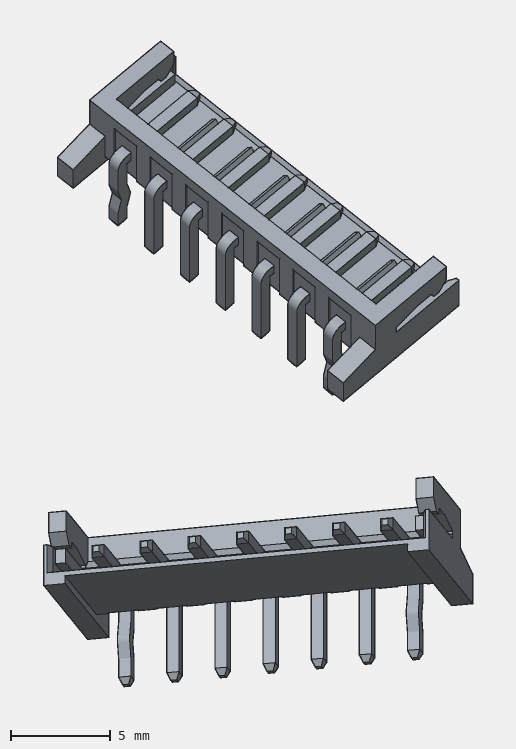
import cadquery as cq
import math


length = 20.0
front_y = 6.0
body_top = 4.2
body_bottom = 0.42
floor_top = 0.82
wall_top_thickness = 0.98
wall_foot_thickness = 1.52
wall_slope_bottom = 2.38
wall_slope_top = wall_slope_bottom + wall_foot_thickness - wall_top_thickness
mouth_lead_depth = 0.4
mouth_lead_drop = 0.15
mouth_side_flare = 0.2

plate_width = 1.1
plate_top = 2.15
plate_back_y = -2.3
plate_back_height = 1.58
side_wall_thickness = 0.38
arm_thickness = 0.92
ledge_front_y = 5.2
ledge_bottom = 1.4
arm_front_y = 5.1
slot_back_y = 1.5
slot_roof_back_y = 2.95
slot_roof_front_y = 3.98
slot_roof_z = 2.9
hook_tip_back_y = 4.2
hook_tip_front_y = 4.55
hook_tip_z = 2.55
hook_nose_z = 3.12

pin_count = 7
pin_pitch = 2.5
pin_size = 0.65
pin_top = 2.32
pin_front_y = 5.2
pin_back_y = -0.85
pin_bottom = -3.3
tip_length = 0.35
tip_inset = 0.15
kink_angle = math.radians(15)
kink_start_z = -0.02
kink_middle_z = -1.0

window_width = 1.55
window_top = 3.42
window_depth = 0.1
rib_width = 0.48
rib_height = 0.25

pin_positions = [(i - (pin_count - 1) / 2) * pin_pitch for i in range(pin_count)]


def side_profile(points, x_start, width):
    """Extrude a closed (Y, Z) outline along +X from x_start."""
    return cq.Workplane("YZ", origin=(x_start, 0, 0)).polyline(points).close().extrude(width)


def block(x, y, z):
    """Box given by its (low, high) limits on each axis."""
    size = [high - low for low, high in (x, y, z)]
    return cq.Workplane("XY").box(*size, centered=False).translate((x[0], y[0], z[0]))


def end_plate():
    """Left end, as two solids: the plate with its back foot, and the latch arm with the ledge below it."""
    left = -length / 2
    outer_outline = [
        (plate_back_y, 0),
        (front_y, 0),
        (front_y, plate_top),
        (0, plate_top),
        (plate_back_y, plate_back_height),
    ]
    arm_outline = [
        (0, ledge_bottom),
        (slot_back_y, ledge_bottom),
        (slot_back_y, hook_tip_z),
        (slot_roof_back_y, slot_roof_z),
        (slot_roof_front_y, slot_roof_z),
        (hook_tip_back_y, hook_tip_z),
        (hook_tip_front_y, hook_tip_z),
        (arm_front_y, hook_nose_z),
        (arm_front_y, body_top),
        (0, body_top),
    ]
    plate = side_profile(outer_outline, left, plate_width)
    ledge = block((left, left + arm_thickness), (0, ledge_front_y), (ledge_bottom, plate_top))
    arm = side_profile(arm_outline, left, arm_thickness)
    return plate, ledge.union(arm)


def wall_and_floor():
    """Back wall and floor; the wall thickens towards its foot."""
    outline = [
        (0, body_bottom),
        (front_y, body_bottom),
        (front_y, floor_top),
        (wall_foot_thickness, floor_top),
        (wall_foot_thickness, wall_slope_bottom),
        (wall_top_thickness, wall_slope_top),
        (wall_top_thickness, body_top),
        (0, body_top),
    ]
    return side_profile(outline, -length / 2, length)


def window(x):
    """Shallow recess in the back wall behind the contact at x, open at the bottom."""
    x_limits = (x - window_width / 2, x + window_width / 2)
    return block(x_limits, (0, window_depth), (body_bottom, window_top))


def cavity():
    """Space above the floor between the side walls, widening and deepening at the front mouth."""
    half_width = length / 2 - side_wall_thickness
    mouth_half_width = half_width + mouth_side_flare
    lead_start_y = front_y - mouth_lead_depth
    mouth_bottom = floor_top - mouth_lead_drop
    plan = [
        (-half_width, wall_foot_thickness),
        (half_width, wall_foot_thickness),
        (half_width, lead_start_y),
        (mouth_half_width, front_y),
        (-mouth_half_width, front_y),
        (-half_width, lead_start_y),
    ]
    section = [
        (wall_foot_thickness, floor_top),
        (lead_start_y, floor_top),
        (front_y, mouth_bottom),
        (front_y, plate_top),
        (wall_foot_thickness, plate_top),
    ]
    prism = cq.Workplane("XY").polyline(plan).close().extrude(plate_top)
    return prism.intersect(side_profile(section, -length / 2, length))


def rib(x):
    """Triangular rib on the floor, running forward from the back wall."""
    outline = [(x - rib_width / 2, floor_top), (x + rib_width / 2, floor_top), (x, floor_top + rib_height)]
    front = cq.Workplane("XZ", origin=(0, pin_front_y, 0))
    return front.polyline(outline).close().extrude(pin_front_y - wall_top_thickness)


def tip(plane):
    """Tapered contact end, growing along the normal of the plane."""
    taper = math.degrees(math.atan2(tip_inset, tip_length))
    return cq.Workplane(plane).rect(pin_size, pin_size).extrude(tip_length, taper=taper)


def contact(x, kinked):
    """L-shaped square pin; the kinked kind has a retention bend below the housing."""
    half = pin_size / 2
    arm_end = pin_front_y - tip_length
    leg_end = pin_bottom + tip_length
    inner_y = pin_back_y + pin_size
    low_z = pin_top - pin_size
    diagonal = pin_size * math.sqrt(0.5)

    outline = (
        cq.Workplane("YZ", origin=(x - half, 0, 0))
        .moveTo(arm_end, low_z)
        .lineTo(arm_end, pin_top)
        .lineTo(inner_y, pin_top)
        .threePointArc((inner_y - diagonal, low_z + diagonal), (pin_back_y, low_z))
    )
    if kinked:
        def around(center, angle):
            return (center[0] + pin_size * math.cos(angle), center[1] + pin_size * math.sin(angle))

        rise = kink_start_z - kink_middle_z
        run = (rise - pin_size * math.sin(kink_angle)) * math.tan(kink_angle)
        dent_y = around((inner_y, 0), math.pi + kink_angle)[0] + run
        upper = (inner_y, kink_start_z)
        dent = (dent_y, kink_middle_z)
        lower = (inner_y, kink_middle_z - rise)
        outline = (
            outline.lineTo(pin_back_y, kink_start_z)
            .threePointArc(around(upper, math.pi + kink_angle / 2), around(upper, math.pi + kink_angle))
            .lineTo(*dent)
            .lineTo(*around(lower, math.pi - kink_angle))
            .threePointArc(around(lower, math.pi - kink_angle / 2), (pin_back_y, lower[1]))
            .lineTo(pin_back_y, leg_end)
            .lineTo(inner_y, leg_end)
            .lineTo(*lower)
            .lineTo(*around(dent, -kink_angle))
            .threePointArc(around(dent, 0), around(dent, kink_angle))
            .lineTo(*upper)
        )
    else:
        outline = outline.lineTo(pin_back_y, leg_end).lineTo(inner_y, leg_end)
    bar = outline.lineTo(inner_y, low_z).close().extrude(pin_size)
    front_tip = tip(cq.Plane((x, arm_end, pin_top - half), (1, 0, 0), (0, 1, 0)))
    bottom_tip = tip(cq.Plane((x, inner_y - half, leg_end), (1, 0, 0), (0, 0, -1)))
    return bar.union(front_tip).union(bottom_tip)


plate, latch = end_plate()
result = wall_and_floor().union(plate).union(plate.mirror("YZ")).cut(cavity())
result = result.union(latch).union(latch.mirror("YZ"))

for x in pin_positions:
    result = result.cut(window(x))
for x in pin_positions[:-1]:
    result = result.union(rib(x + pin_pitch / 2))
for x in pin_positions:
    result = result.union(contact(x, x in (pin_positions[0], pin_positions[-1])))